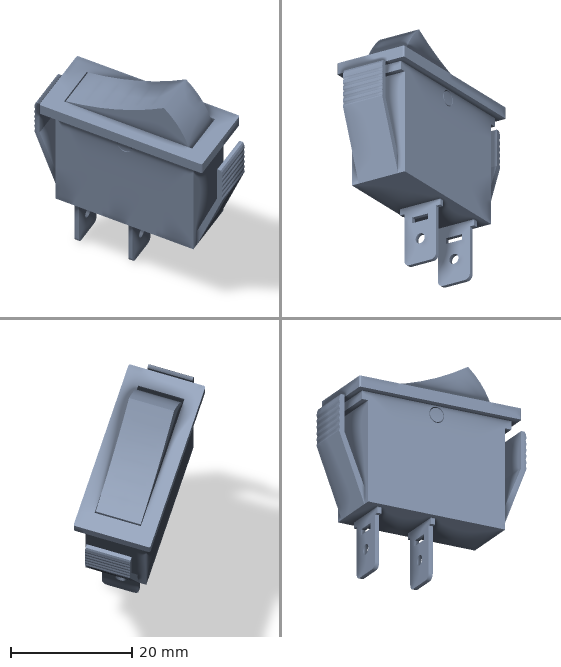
import cadquery as cq
import math


bezel_length = 30.5
bezel_width = 13.3
bezel_height = 2.0
bezel_corner_radius = 0.3
shoulder_length = 28.1
shoulder_height = 1.5
body_length = 25.8
body_width = 10.5
body_height = 19.55
cavity_length = 24.0
cavity_width = 8.0
cavity_depth = 10.0

pivot_z = -1.6
pivot_hole_diameter = 2.8
pivot_pin_diameter = 2.5

overall_length = 35.3
clip_width = 7.8
clip_thickness = 1.0
clip_top_z = -0.75
clip_root_height = 3.1
clip_chamfer_width = 0.2
clip_chamfer_height = 0.35
tooth_pitch = 1.1
tooth_count = 6
first_crest_drop = 1.05
tooth_depth = 0.06
groove_depth = 0.15
groove_height = 0.6

rocker_width = 7.8
rocker_tilt = 20.0
rocker_tip_x = 9.78
rocker_tip_z = 7.46
rocker_top_radius = 47.3
rocker_end_radius = 14.84
rocker_skirt = 2.0

terminal_x_positions = (-10.1, 0.0)
terminal_thickness = 0.8
terminal_length = 10.55
terminal_shoulder_width = 8.0
terminal_shoulder_height = 1.1
blade_width = 6.3
blade_corner_radius = 1.0
slot_width = 3.2
slot_height = 1.0
slot_drop = 2.6
blade_hole_diameter = 1.78
blade_hole_drop = 6.2


def block(length, width, bottom_z, top_z):
    """Box centred on the Z axis between two heights."""
    return (
        cq.Workplane("XY")
        .workplane(offset=bottom_z)
        .rect(length, width)
        .extrude(top_z - bottom_z)
    )


def extrude_across(profile, width):
    """Extrude an XZ outline to the given width, centred on Y = 0."""
    return profile.extrude(width / 2, both=True)


def pivot_cylinder(diameter):
    """Cylinder along the pivot, as long as the body is wide."""
    profile = cq.Workplane("XZ").center(0, pivot_z).circle(diameter / 2)
    return extrude_across(profile, body_width)


def make_clip():
    """Left snap clip: a bent leaf whose upright part carries a grip of rounded grooves."""
    crest_x = -overall_length / 2
    groove_edge_x = crest_x + tooth_depth
    groove_bottom_x = crest_x + groove_depth
    inner_x = crest_x + clip_thickness
    body_end_x = -body_length / 2
    first_crest_z = clip_top_z - first_crest_drop
    bend_z = first_crest_z - (tooth_count - 1) * tooth_pitch
    profile = (
        cq.Workplane("XZ")
        .moveTo(body_end_x, -body_height)
        .lineTo(body_end_x, -body_height + clip_root_height)
        .lineTo(inner_x, bend_z)
        .lineTo(inner_x, clip_top_z)
        .lineTo(groove_bottom_x + clip_chamfer_width, clip_top_z)
        .lineTo(groove_bottom_x, clip_top_z - clip_chamfer_height)
    )
    groove_gap = (tooth_pitch - groove_height) / 2
    profile = profile.lineTo(groove_edge_x, first_crest_z + groove_gap)
    profile = profile.lineTo(crest_x, first_crest_z)
    for index in range(1, tooth_count):
        next_crest_z = first_crest_z - index * tooth_pitch
        profile = (
            profile.lineTo(groove_edge_x, next_crest_z + groove_gap + groove_height)
            .threePointArc(
                (groove_bottom_x, next_crest_z + tooth_pitch / 2),
                (groove_edge_x, next_crest_z + groove_gap),
            )
            .lineTo(crest_x, next_crest_z)
        )
    return extrude_across(profile.close(), clip_width)


def make_housing():
    bezel = block(bezel_length, bezel_width, 0, bezel_height).edges("|Z").fillet(bezel_corner_radius)
    shoulder = block(shoulder_length, body_width, -shoulder_height, 0)
    body = block(body_length, body_width, -body_height, 0)
    clip = make_clip()
    cavity = block(cavity_length, cavity_width, -cavity_depth, bezel_height)
    return (
        bezel.union(shoulder)
        .union(body)
        .union(clip)
        .union(clip.mirror("YZ"))
        .cut(cavity)
        .cut(pivot_cylinder(pivot_hole_diameter))
    )


def make_rocker():
    """Symmetric rocker with a concave top and round ends, tilted about its pivot pin."""
    end_centre_x = rocker_tip_x - math.sqrt(rocker_end_radius**2 - rocker_tip_z**2)
    end_x = end_centre_x + rocker_end_radius
    foot_x = end_centre_x + math.sqrt(rocker_end_radius**2 - rocker_skirt**2)
    top_sag = rocker_top_radius - math.sqrt(rocker_top_radius**2 - rocker_tip_x**2)

    profile = (
        cq.Workplane("XZ", origin=(0, 0, pivot_z))
        .moveTo(-rocker_tip_x, rocker_tip_z)
        .threePointArc((0, rocker_tip_z - top_sag), (rocker_tip_x, rocker_tip_z))
        .threePointArc((end_x, 0), (foot_x, -rocker_skirt))
        .lineTo(-foot_x, -rocker_skirt)
        .threePointArc((-end_x, 0), (-rocker_tip_x, rocker_tip_z))
        .close()
    )
    paddle = extrude_across(profile, rocker_width).rotate((0, 0, pivot_z), (0, 1, pivot_z), -rocker_tilt)
    return paddle.union(pivot_cylinder(pivot_pin_diameter))


def make_terminal(x_position):
    """Blade terminal that hangs from the body underside."""
    top_z = -body_height
    shoulder = block(
        terminal_thickness, terminal_shoulder_width, top_z - terminal_shoulder_height, top_z
    )
    blade = (
        block(terminal_thickness, blade_width, top_z - terminal_length, top_z)
        .edges("|X and <Z")
        .fillet(blade_corner_radius)
    )
    slot = block(
        terminal_thickness,
        slot_width,
        top_z - slot_drop - slot_height / 2,
        top_z - slot_drop + slot_height / 2,
    )
    hole = (
        cq.Workplane("YZ")
        .center(0, top_z - blade_hole_drop)
        .circle(blade_hole_diameter / 2)
        .extrude(terminal_thickness, both=True)
    )
    return shoulder.union(blade).cut(slot).cut(hole).translate((x_position, 0, 0))


housing = make_housing()
rocker = make_rocker()
terminals = [make_terminal(x_position) for x_position in terminal_x_positions]

result = cq.Compound.makeCompound(
    [housing.solids().val(), rocker.solids().val(), *[terminal.solids().val() for terminal in terminals]]
)